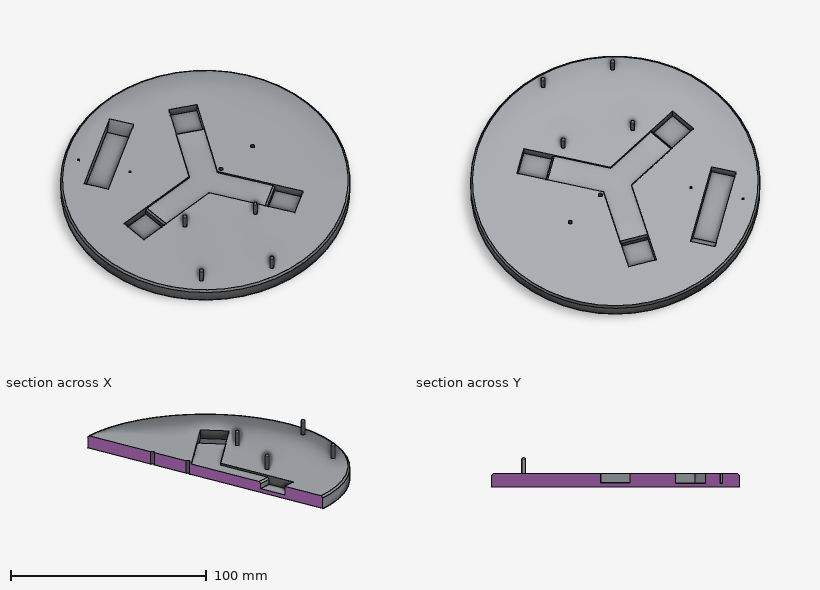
import cadquery as cq

PLATE_DIAMETER = 148.0
PLATE_THICKNESS = 7.0
PLATE_CHAMFER = 1.0

PIN_DIAMETER = 2.0
PIN_HEIGHT = 8.0
PIN_SPACING = 37.0
PIN_GROUP_ANGLE = -30.0
PIN_GROUP_RADIAL = 45.5
PIN_GROUP_SIDEWAYS = 1.4

ARM_ANGLES = (-90.0, 30.0, 150.0)
ARM_WIDTH = 14.8
ARM_LENGTH = 50.0
ARM_DEPTH = 1.0
ARM_END_DEPTH = 4.7
ARM_END_START = 34.9
STEP_CHAMFER = 1.0

POCKET_ANGLE = 210.0
POCKET_RADIAL = 52.2
POCKET_WIDTH = 12.9
POCKET_LENGTH = 40.0
POCKET_DEPTH = 5.0
RAMP_RUN = 5.0

PILOT_DIAMETER = 1.0
PILOT_DEPTH = 5.0
PILOT_SPACING = 27.4
PILOT_OFFSET = 5.75

THROUGH_DIAMETER = 2.0
THROUGH_POSITIONS = ((0.0, 11.0), (0.0, 33.2))


def turned(shape, angle):
    """Turn a shape built along +X about the plate axis."""
    return shape.rotate((0, 0, 0), (0, 0, 1), angle)


def plate():
    disc = cq.Workplane("XY").circle(PLATE_DIAMETER / 2).extrude(PLATE_THICKNESS)
    return disc.faces(">Z").edges().chamfer(PLATE_CHAMFER)


def pins():
    """Four dome-tipped pins, sunk to the underside of the plate so that they fuse with it."""
    radius = PIN_DIAMETER / 2
    dome_base = PLATE_THICKNESS + PIN_HEIGHT - radius
    pin = cq.Workplane("XY").circle(radius).extrude(dome_base)
    pin = pin.union(cq.Workplane("XY", origin=(0, 0, dome_base)).sphere(radius))
    group = (
        cq.Workplane("XY")
        .center(PIN_GROUP_RADIAL, PIN_GROUP_SIDEWAYS)
        .rarray(PIN_SPACING, PIN_SPACING, 2, 2)
        .eachpoint(pin.val(), combine=True)
    )
    return turned(group, PIN_GROUP_ANGLE)


def recess_arm(angle):
    """One arm: its side profile in XZ, extruded across the arm width."""
    shallow_floor = PLATE_THICKNESS - ARM_DEPTH
    deep_floor = PLATE_THICKNESS - ARM_END_DEPTH
    arm = (
        cq.Workplane("XZ")
        .moveTo(0, PLATE_THICKNESS)
        .lineTo(0, shallow_floor)
        .lineTo(ARM_END_START - STEP_CHAMFER, shallow_floor)
        .lineTo(ARM_END_START, shallow_floor - STEP_CHAMFER)
        .lineTo(ARM_END_START, deep_floor)
        .lineTo(ARM_LENGTH, deep_floor)
        .lineTo(ARM_LENGTH, PLATE_THICKNESS)
        .close()
        .extrude(ARM_WIDTH / 2, both=True)
    )
    return turned(arm, angle)


def side_pocket():
    """Pocket profile along its length, extruded across its width."""
    half_length = POCKET_LENGTH / 2
    floor = PLATE_THICKNESS - POCKET_DEPTH
    pocket = (
        cq.Workplane("YZ")
        .workplane(offset=POCKET_RADIAL)
        .moveTo(-half_length - RAMP_RUN, PLATE_THICKNESS)
        .lineTo(-half_length, floor)
        .lineTo(half_length, floor)
        .lineTo(half_length, PLATE_THICKNESS)
        .close()
        .extrude(POCKET_WIDTH / 2, both=True)
    )
    return turned(pocket, POCKET_ANGLE)


def pilot_holes():
    holes = (
        cq.Workplane("XY")
        .workplane(offset=PLATE_THICKNESS)
        .center(POCKET_RADIAL, PILOT_OFFSET)
        .rarray(PILOT_SPACING, 1, 2, 1)
        .circle(PILOT_DIAMETER / 2)
        .extrude(-PILOT_DEPTH)
    )
    return turned(holes, POCKET_ANGLE)


def through_holes():
    return (
        cq.Workplane("XY")
        .pushPoints(THROUGH_POSITIONS)
        .circle(THROUGH_DIAMETER / 2)
        .extrude(PLATE_THICKNESS)
    )


result = plate().union(pins())
for arm_angle in ARM_ANGLES:
    result = result.cut(recess_arm(arm_angle))
result = result.cut(side_pocket()).cut(pilot_holes()).cut(through_holes())